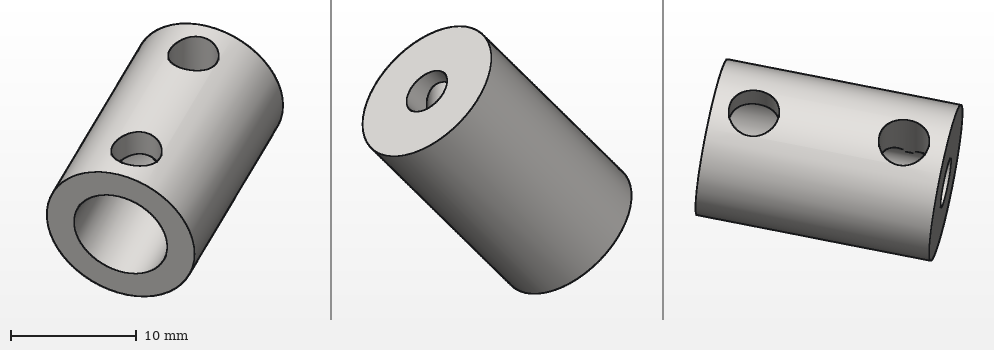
import cadquery as cq
import math

length = 19.05
outer_diameter = 12.69
wide_bore_diameter = 8.0
narrow_bore_diameter = 4.0
drill_point_angle = 118
screw_hole_diameter = 4.04
screw_hole_offset = 6.12

front_y = -length / 2
back_y = length / 2
outer_radius = outer_diameter / 2
wide_radius = wide_bore_diameter / 2
narrow_radius = narrow_bore_diameter / 2
taper_start_y = 0.0
taper_length = (wide_radius - narrow_radius) / math.tan(math.radians(drill_point_angle / 2))
taper_end_y = taper_start_y + taper_length

sleeve = (
    cq.Workplane("XY")
    .moveTo(wide_radius, front_y)
    .lineTo(outer_radius, front_y)
    .lineTo(outer_radius, back_y)
    .lineTo(narrow_radius, back_y)
    .lineTo(narrow_radius, taper_end_y)
    .lineTo(wide_radius, taper_start_y)
    .close()
    .revolve(360, (0, 0, 0), (0, 1, 0))
)

screw_holes = (
    cq.Workplane("XY")
    .pushPoints([(0, -screw_hole_offset), (0, screw_hole_offset)])
    .circle(screw_hole_diameter / 2)
    .extrude(outer_diameter)
)

result = sleeve.cut(screw_holes)